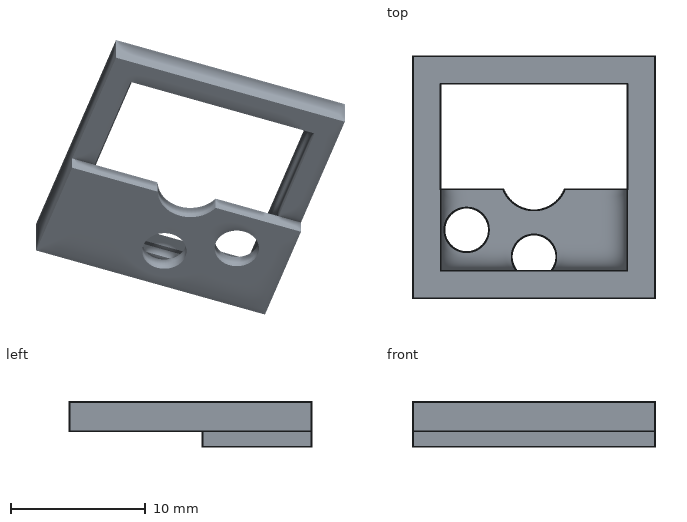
import cadquery as cq

side = 18.0
total_height = 3.35
plate_thickness = 1.15
window = 13.86
lip_thickness = 1.3
undercut = 0.3
plate_edge_y = -0.88
centre_hole_diameter = 4.9
pin_hole_diameter = 3.3
pin_hole_centres = [(-5.0, -3.9), (0, -5.9)]

frame_height = total_height - plate_thickness
undercut_height = frame_height - lip_thickness
undercut_window = window + 2 * undercut
plate_depth = side / 2 + plate_edge_y


def square_block(width, height, bottom):
    """Square block centred on the Z axis, standing on the given level."""
    return cq.Workplane("XY").workplane(offset=bottom).rect(width, width).extrude(height)


def make_frame():
    """Square frame whose opening widens below a thin lip."""
    frame = square_block(side, frame_height, plate_thickness)
    opening = square_block(window, frame_height, plate_thickness)
    wide_opening = square_block(undercut_window, undercut_height, plate_thickness)
    return frame.cut(opening).cut(wide_opening)


def make_base_plate():
    """Plate under the -Y part of the frame, with a round notch and two pin holes."""
    plate = (
        cq.Workplane("XY")
        .center(0, plate_edge_y - plate_depth / 2)
        .rect(side, plate_depth)
        .extrude(plate_thickness)
    )
    centre_hole = cq.Workplane("XY").circle(centre_hole_diameter / 2).extrude(plate_thickness)
    pin_holes = (
        cq.Workplane("XY")
        .pushPoints(pin_hole_centres)
        .circle(pin_hole_diameter / 2)
        .extrude(plate_thickness)
    )
    return plate.cut(centre_hole).cut(pin_holes)


frame = make_frame()
base_plate = make_base_plate()
result = cq.Compound.makeCompound([frame.val(), base_plate.val()])